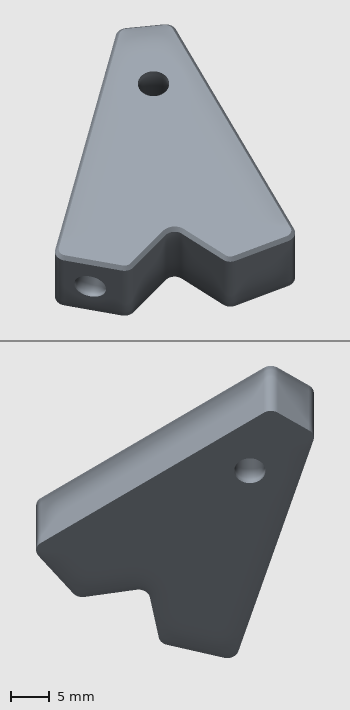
import cadquery as cq
import math

length = 40.15
width = 29.5
thickness = 10.0

corner_radius = 1.5
top_chamfer = 0.5

top_left = (1.95, width)
left_tip = (-0.25, 22.75)
bottom_tip = (29.8, -0.6)
lower_right = (35.93, 7.35)
notch_root = (31.9, 15.45)
right_tip = (length, 19.55)
top_right = (length, width)

pivot_diameter = 4.0
pivot_center = (10.08, 23.0)

side_diameter = 4.2
side_depth = 10.05
side_x = 32.8


def make_body():
    """Plate with rounded vertical corners and a chamfered top rim."""
    outline = [top_left, left_tip, bottom_tip, lower_right, notch_root, right_tip, top_right]
    plate = cq.Workplane("XY").polyline(outline).close().extrude(thickness)
    return plate.edges("|Z").fillet(corner_radius).faces(">Z").edges().chamfer(top_chamfer)


def make_pivot_hole():
    """Vertical cylinder through the full thickness."""
    return cq.Workplane("XY").center(*pivot_center).circle(pivot_diameter / 2).extrude(thickness)


def make_side_hole():
    """Horizontal cylinder running square into the short lower-right face."""
    run = lower_right[0] - bottom_tip[0]
    rise = lower_right[1] - bottom_tip[1]
    face_length = math.hypot(run, rise)
    side_y = bottom_tip[1] + (side_x - bottom_tip[0]) * rise / run
    entry = cq.Vector(side_x, side_y, thickness / 2)
    inward = cq.Vector(-rise / face_length, run / face_length, 0)
    return cq.Workplane(cq.Solid.makeCylinder(side_diameter / 2, side_depth, entry, inward))


result = make_body().cut(make_pivot_hole()).cut(make_side_hole())